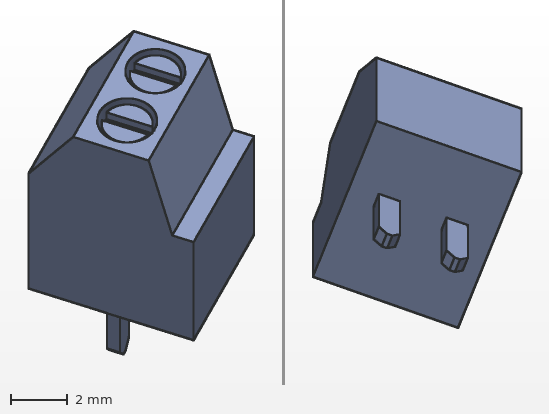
import cadquery as cq


TOTAL_HEIGHT = 12.15

HOUSING_DEPTH = 6.3
HOUSING_LENGTH = 5.45
HOUSING_HEIGHT = 8.65
TOP_DEPTH = 2.88
FRONT_WALL_HEIGHT = 5.99
BACK_STEP_HEIGHT = 5.13
BACK_STEP_DEPTH = 0.81

POLE_PITCH = 2.54
POLE_POSITIONS = (-POLE_PITCH / 2, POLE_PITCH / 2)

WELL_DIAMETER = 2.1
SCREW_DIAMETER = 1.8
SCREW_RECESS = 0.16
SLOT_WIDTH = 0.4
SLOT_DEPTH = 0.35
WELL_DEPTH = 1.0

PIN_X = -0.35
PIN_THICKNESS = 0.51
PIN_WIDTH = 0.8
PIN_LENGTH = TOTAL_HEIGHT - HOUSING_HEIGHT
PIN_TIP_LENGTH = 0.4
PIN_TIP_WIDTH = 0.21


def make_housing():
    """Side profile with a sloped front, a sloped back and a low back step."""
    front = -HOUSING_DEPTH / 2
    back = HOUSING_DEPTH / 2
    profile = [
        (front, 0),
        (back, 0),
        (back, BACK_STEP_HEIGHT),
        (back - BACK_STEP_DEPTH, BACK_STEP_HEIGHT),
        (TOP_DEPTH / 2, HOUSING_HEIGHT),
        (-TOP_DEPTH / 2, HOUSING_HEIGHT),
        (front, FRONT_WALL_HEIGHT),
    ]
    return cq.Workplane("XZ").polyline(profile).close().extrude(HOUSING_LENGTH / 2, both=True)


def make_well(y):
    """Round well sunk into the top of the housing."""
    return (
        cq.Workplane("XY", origin=(0, y, HOUSING_HEIGHT))
        .circle(WELL_DIAMETER / 2)
        .extrude(-WELL_DEPTH)
    )


def make_screw(y):
    """Screw head rising from the well floor, slotted along X."""
    head_top = HOUSING_HEIGHT - SCREW_RECESS
    head = (
        cq.Workplane("XY", origin=(0, y, HOUSING_HEIGHT - WELL_DEPTH))
        .circle(SCREW_DIAMETER / 2)
        .extrude(WELL_DEPTH - SCREW_RECESS)
    )
    slot = (
        cq.Workplane("XY", origin=(0, y, head_top))
        .rect(WELL_DIAMETER, SLOT_WIDTH)
        .extrude(-SLOT_DEPTH)
    )
    return head.cut(slot)


def make_pin(y):
    """Flat pin below the housing, tapered across its width at the tip."""
    half_width = PIN_WIDTH / 2
    half_tip = PIN_TIP_WIDTH / 2
    shoulder_z = PIN_TIP_LENGTH - PIN_LENGTH
    profile = [
        (-half_width, 0),
        (half_width, 0),
        (half_width, shoulder_z),
        (half_tip, -PIN_LENGTH),
        (-half_tip, -PIN_LENGTH),
        (-half_width, shoulder_z),
    ]
    return (
        cq.Workplane("YZ", origin=(PIN_X, y, 0))
        .polyline(profile)
        .close()
        .extrude(PIN_THICKNESS / 2, both=True)
    )


result = make_housing()
for pole_y in POLE_POSITIONS:
    result = result.cut(make_well(pole_y))
    result = result.union(make_screw(pole_y))
    result = result.union(make_pin(pole_y))